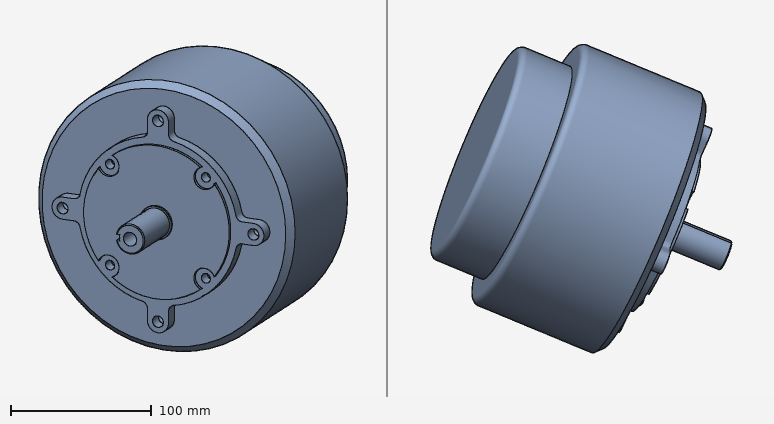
import cadquery as cq
import math

body_diameter = 201.0
body_length = 97.9
cover_diameter = 164.0
cover_length = 40.0
edge_size = 5.0
flange_diameter = 124.6
flange_thickness = 10.0
pilot_diameter = 114.2
pilot_height = 2.6
collar_diameter = 25.0
collar_height = 1.8
shaft_diameter = 22.3
shaft_length = 42.8
shaft_chamfer = 0.8

ear_circle_radius = 74.8
ear_radius = 8.2
ear_root_radius = 5.0
ear_hole_diameter = 8.5
ear_hole_depth = flange_thickness

screw_offset = 37.5
pocket_radius = 8.2
screw_hole_diameter = 7.0
screw_hole_depth = flange_thickness

centre_hole_diameter = 10.3
centre_hole_depth = 20.0
drill_tip_angle = 118.0
keyway_width = 4.8
keyway_depth = 3.0
keyway_runout = 5.5
keyway_collar_gap = 1.0

flange_face = flange_thickness
pilot_face = flange_face + pilot_height
collar_face = pilot_face + collar_height
shaft_end = collar_face + shaft_length


def disc(diameter, start, length, x=0.0, z=0.0):
    """Cylinder growing towards -Y from the given station."""
    base = cq.Workplane("XZ", origin=(x, -start, z))
    return base.circle(diameter / 2).extrude(length)


def drilled_hole(diameter, face, depth, x=0.0, z=0.0):
    """Blind hole with a conical bottom, drilled towards +Y from a face."""
    radius = diameter / 2
    tip_length = radius / math.tan(math.radians(drill_tip_angle / 2))
    profile = (
        cq.Workplane("XY")
        .polyline([(0, 0), (radius, 0), (radius, depth), (0, depth + tip_length)])
        .close()
    )
    drill = profile.revolve(360, (0, 0, 0), (0, 1, 0))
    return drill.translate((x, -face, z))


def make_body():
    body = disc(body_diameter, -body_length, body_length)
    body = body.faces("<Y").chamfer(edge_size)
    return body.faces(">Y").edges().fillet(edge_size)


def make_cover():
    cover = disc(cover_diameter, -body_length - cover_length, cover_length)
    return cover.faces(">Y").edges().fillet(edge_size)


def make_flange():
    """Round flange with four radial ears, blended into the rim."""
    flange = disc(flange_diameter, 0, flange_thickness)
    for span_x, span_z in ((1, 0), (0, 1)):
        arm = cq.Workplane("XZ").rect(
            2 * (ear_circle_radius * span_x + ear_radius * span_z),
            2 * (ear_circle_radius * span_z + ear_radius * span_x),
        )
        flange = flange.union(arm.extrude(flange_thickness))
    root_distance = math.sqrt((flange_diameter / 2) ** 2 - ear_radius**2)
    for side in (-1, 1):
        for edge_side in (-1, 1):
            roots = (
                (side * root_distance, edge_side * ear_radius),
                (edge_side * ear_radius, side * root_distance),
            )
            for x, z in roots:
                root_edge = cq.selectors.NearestToPointSelector((x, -flange_thickness / 2, z))
                flange = flange.edges("|Y").edges(root_edge).fillet(ear_root_radius)
    for x, z in ear_centres:
        flange = flange.union(disc(2 * ear_radius, 0, flange_thickness, x, z))
    return flange


def make_pilot():
    pilot = disc(pilot_diameter, flange_face, pilot_height)
    for x, z in screw_centres:
        pilot = pilot.cut(disc(2 * pocket_radius, flange_face, pilot_height, x, z))
    return pilot


def make_shaft():
    collar = disc(collar_diameter, pilot_face, collar_height)
    shaft = disc(shaft_diameter, collar_face, shaft_length)
    shaft = shaft.faces("<Y").chamfer(shaft_chamfer)
    return collar.union(shaft.cut(make_keyway()))


def make_keyway():
    """Keyway open at the shaft end, with a circular cutter run-out inside."""
    surface_x = -shaft_diameter / 2
    floor_x = surface_x + keyway_depth
    cutter_radius = (keyway_runout**2 + keyway_depth**2) / (2 * keyway_depth)
    inner_y = -collar_face - keyway_collar_gap
    runout_y = inner_y - keyway_runout
    half_angle = math.atan2(keyway_runout, cutter_radius - keyway_depth) / 2
    arc_middle = (
        floor_x - cutter_radius * (1 - math.cos(half_angle)),
        runout_y + cutter_radius * math.sin(half_angle),
    )
    profile = (
        cq.Workplane("XY")
        .moveTo(surface_x, -shaft_end)
        .lineTo(floor_x, -shaft_end)
        .lineTo(floor_x, runout_y)
        .threePointArc(arc_middle, (surface_x, inner_y))
        .close()
    )
    return profile.extrude(keyway_width / 2, both=True)


ear_centres = [
    (ear_circle_radius, 0),
    (-ear_circle_radius, 0),
    (0, ear_circle_radius),
    (0, -ear_circle_radius),
]
screw_centres = [(x * screw_offset, z * screw_offset) for x in (-1, 1) for z in (-1, 1)]

result = make_body()
for section in (make_cover(), make_flange(), make_pilot(), make_shaft()):
    result = result.union(section)

for x, z in ear_centres:
    result = result.cut(drilled_hole(ear_hole_diameter, flange_face, ear_hole_depth, x, z))
for x, z in screw_centres:
    result = result.cut(drilled_hole(screw_hole_diameter, flange_face, screw_hole_depth, x, z))
result = result.cut(drilled_hole(centre_hole_diameter, shaft_end, centre_hole_depth))